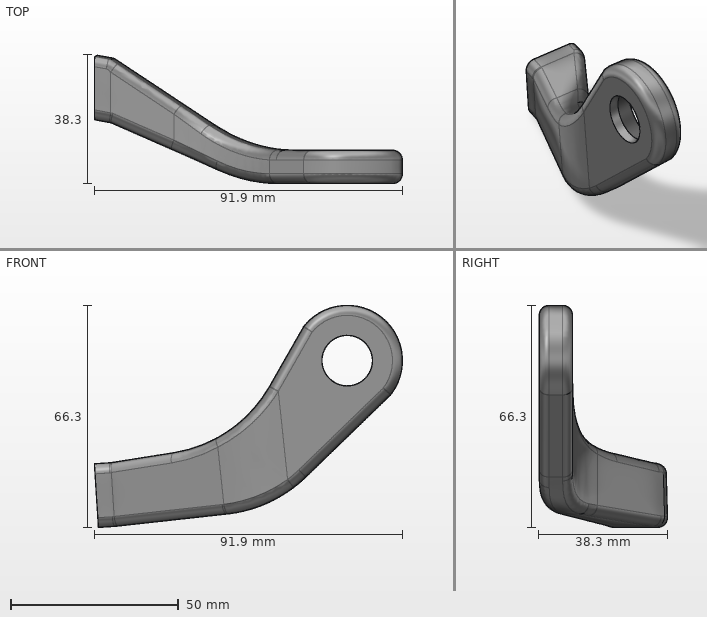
import cadquery as cq
import math

EYE_RADIUS = 16.5
EYE_TILT = 51.8
HOLE_DIAMETER = 15.0
COUNTERBORE_DIAMETER = 24.0
HOLE_LENGTH = 3.0
PLATE_THICKNESS = 10.0
EDGE_RADIUS = 3.0

UPPER_END = (-70.5, -30.4)
LOWER_END = (-69.3, -49.45)
UPPER_SHANK_SLOPE = 9.0
LOWER_SHANK_SLOPE = 6.3
UPPER_EYE_SLOPE = 60.3
LOWER_EYE_SLOPE = 44.1
ELEVATION_BEND_RADIUS = 40.0

LEAN_ANGLE = 6.0
FRONT_BEND_RADIUS = 50.0
BACK_BEND_RADIUS = 45.0
FRONT_BEND_X = -21.5
BACK_BEND_X = -19.1
FRONT_BEND_ANGLE = 23.3
BACK_BEND_ANGLE = 33.2

STUB_LENGTH = 5.0
STUB_SIDE_ANGLE = 10.5

OVERRUN = 10.0
PRISM_REACH = 80.0


def polar(angle, length):
    a = math.radians(angle)
    return (length * math.cos(a), length * math.sin(a))


def add(p, q):
    return (p[0] + q[0], p[1] + q[1])


def crossing(p, p_slope, q, q_slope):
    """Point where the line through p meets the line through q."""
    u = polar(p_slope, 1)
    v = polar(q_slope, 1)
    dx = q[0] - p[0]
    dz = q[1] - p[1]
    distance = (dx * v[1] - dz * v[0]) / (u[0] * v[1] - u[1] * v[0])
    return add(p, polar(p_slope, distance))


def bend_points(shank_point, shank_slope, eye_point, eye_slope):
    """Start, middle and end of the arc that joins a shank edge to an eye edge."""
    corner = crossing(shank_point, shank_slope, eye_point, eye_slope)
    turn = eye_slope - shank_slope
    tangent = ELEVATION_BEND_RADIUS * math.tan(math.radians(turn / 2))
    start = add(corner, polar(shank_slope, -tangent))
    end = add(corner, polar(eye_slope, tangent))
    centre = add(start, polar(shank_slope + 90, ELEVATION_BEND_RADIUS))
    middle = add(centre, polar(shank_slope + turn / 2 - 90, ELEVATION_BEND_RADIUS))
    return start, middle, end


def elevation_prism():
    upper_eye = polar(EYE_TILT + 90, EYE_RADIUS)
    eye_tip = polar(EYE_TILT, EYE_RADIUS)
    lower_eye = polar(EYE_TILT - 90, EYE_RADIUS)
    upper = bend_points(UPPER_END, UPPER_SHANK_SLOPE, upper_eye, UPPER_EYE_SLOPE)
    lower = bend_points(LOWER_END, LOWER_SHANK_SLOPE, lower_eye, LOWER_EYE_SLOPE)
    return (
        cq.Workplane("XZ")
        .moveTo(*add(UPPER_END, polar(UPPER_SHANK_SLOPE, -2 * OVERRUN)))
        .lineTo(*upper[0])
        .threePointArc(upper[1], upper[2])
        .lineTo(*upper_eye)
        .threePointArc(eye_tip, lower_eye)
        .lineTo(*lower[2])
        .threePointArc(lower[1], lower[0])
        .lineTo(*add(LOWER_END, polar(LOWER_SHANK_SLOPE, -2 * OVERRUN)))
        .close()
        .extrude(PRISM_REACH, both=True)
    )


def lean_vector(height):
    return cq.Vector(-height * math.tan(math.radians(LEAN_ANGLE)), 0, height)


def plan_side(x, y, radius, angle, end_x):
    """Middle and end of a plan bend, and the far end of the straight run behind it."""
    centre = (x, y + radius)
    middle = add(centre, polar(-90 - angle / 2, radius))
    end = add(centre, polar(-90 - angle, radius))
    run = (end[0] - end_x) / math.cos(math.radians(angle))
    return middle, end, add(end, polar(180 - angle, run))


def plan_prism():
    half = PLATE_THICKNESS / 2
    right_x = EYE_RADIUS + OVERRUN
    end_x = LOWER_END[0] - OVERRUN
    front_mid, front_end, front_far = plan_side(
        FRONT_BEND_X, -half, FRONT_BEND_RADIUS, FRONT_BEND_ANGLE, end_x
    )
    back_mid, back_end, back_far = plan_side(
        BACK_BEND_X, half, BACK_BEND_RADIUS, BACK_BEND_ANGLE, end_x
    )
    outline = (
        cq.Workplane("XY")
        .moveTo(right_x, -half)
        .lineTo(FRONT_BEND_X, -half)
        .threePointArc(front_mid, front_end)
        .lineTo(*front_far)
        .lineTo(*back_far)
        .lineTo(*back_end)
        .threePointArc(back_mid, (BACK_BEND_X, half))
        .lineTo(right_x, half)
        .close()
        .val()
    )
    base = outline.translate(lean_vector(-PRISM_REACH))
    return cq.Workplane(cq.Solid.extrudeLinear(base, [], lean_vector(2 * PRISM_REACH)))


def shank_end_direction():
    """Unit normal of the shank's end plane, pointing into the arm."""
    rise = UPPER_END[1] - LOWER_END[1]
    shift = LOWER_END[0] - UPPER_END[0]
    return cq.Vector(rise, 0, shift).normalized()


def sharp_arm():
    """Arm that ends square on the plane through both shank ends."""
    origin = (UPPER_END[0], 0, UPPER_END[1])
    inward = shank_end_direction().toTuple()
    end_plane = cq.Plane(origin=origin, xDir=(0, 1, 0), normal=inward)
    trim = cq.Workplane(end_plane).rect(2 * PRISM_REACH, 2 * PRISM_REACH).extrude(2 * PRISM_REACH)
    return elevation_prism().intersect(plan_prism()).intersect(trim)


def end_face(body):
    return body.faces(cq.selectors.DirectionMinMaxSelector(shank_end_direction(), False))


def add_stub(arm):
    """Sweep the shank's end section outwards, swinging to the back."""
    swing = cq.Vector(0, math.tan(math.radians(STUB_SIDE_ANGLE)), 0)
    direction = (swing - shank_end_direction()).normalized()
    stub = cq.Solid.extrudeLinear(end_face(arm).val().outerWire(), [], direction * STUB_LENGTH)
    return arm.union(cq.Workplane(stub))


def round_long_edges(body):
    """Round the four edge chains that run along the part; leave the edges across it."""
    across = cq.selectors.ParallelDirSelector(cq.Vector(0, 1, 0))
    leaning = cq.selectors.ParallelDirSelector(lean_vector(1))
    crossing_edges = across + leaning
    for edge in end_face(body).edges().vals():
        crossing_edges += cq.selectors.ParallelDirSelector(edge.tangentAt(0))
    return body.edges(cq.selectors.InverseSelector(crossing_edges)).fillet(EDGE_RADIUS)


def eye_bore():
    """Through hole with a wide counterbore sunk from the back face."""
    half = PLATE_THICKNESS / 2
    hole = cq.Workplane("XZ").circle(HOLE_DIAMETER / 2).extrude(half, both=True)
    counterbore = (
        cq.Workplane("XZ", origin=(0, half, 0))
        .circle(COUNTERBORE_DIAMETER / 2)
        .extrude(PLATE_THICKNESS - HOLE_LENGTH)
    )
    return hole.union(counterbore)


result = round_long_edges(add_stub(sharp_arm())).cut(eye_bore())